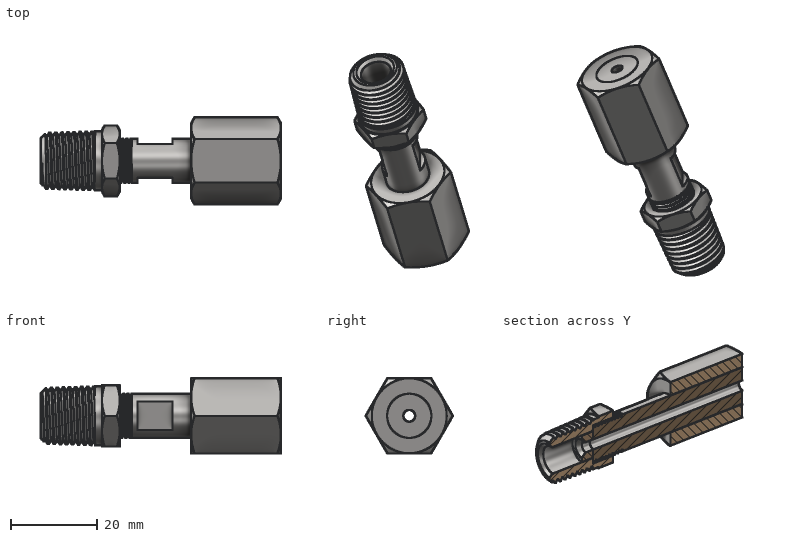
import cadquery as cq
import math

total_length = 55.7

collar_start = 12.65
small_hex_start = 14.2
small_hex_end = 18.4
shank_thread_end = 21.15
flats_start = 22.5
flats_end = 30.5
nut_start = 34.85

collar_radius = 6.85
taper_slope = 1 / 32
mouth_face_radius = 5.2
small_hex_width = 14.25
nipple_bore_radius = 3.55
bore_chamfer = 0.9

pipe_thread_turns = 7
pipe_turns_length = 9.85
pipe_pitch = pipe_turns_length / pipe_thread_turns
pipe_groove_width = 1.15
pipe_groove_depth = 0.9
pipe_groove_phase = 1.8
pipe_lead_in_turns = 3

shank_radius = 5.1
flats_width = 7.85
shank_pitch = 0.95
shank_groove_width = 0.8
shank_groove_depth = 0.55
shank_groove_phase = 18.8
shank_lead_in_turns = 8

insert_length = 3.35
orifice_radius = 1.35
countersink_radius = 2.45

nut_width = 17.5

hex_chamfer_angle = 30.0
hex_chamfer_inset = 0.05

groove_overshoot = 0.1


def cylinder(start, end, radius):
    return cq.Workplane("YZ", origin=(start, 0, 0)).circle(radius).extrude(end - start)


def revolved(profile):
    """Turn a closed (X, radius) outline around the X axis."""
    return cq.Workplane("XY").polyline(profile).close().revolve(360, (0, 0), (1, 0))


def chamfered_hex(start, end, width):
    """Hex bar with corners on the Y axis and both ends chamfered."""
    corner_radius = width / math.sqrt(3)
    face_radius = width / 2 - hex_chamfer_inset
    chamfer_length = (corner_radius - face_radius) * math.tan(math.radians(hex_chamfer_angle))
    bar = cq.Workplane("YZ", origin=(start, 0, 0)).polygon(6, 2 * corner_radius).extrude(end - start)
    envelope = revolved([
        (start, 0),
        (start, face_radius),
        (start + chamfer_length, corner_radius),
        (end - chamfer_length, corner_radius),
        (end, face_radius),
        (end, 0),
    ])
    return bar.intersect(envelope)


def thread_groove(start, path, radius, width, depth):
    """Right-hand V groove along a helix path, starting on the +Z side at X = start."""
    flank_slope = width / 2 / depth
    outer_half_width = width / 2 + groove_overshoot * flank_slope
    groove = (
        cq.Workplane("XZ")
        .polyline([
            (radius - depth, 0),
            (radius + groove_overshoot, outer_half_width),
            (radius + groove_overshoot, -outer_half_width),
        ])
        .close()
        .sweep(cq.Workplane(path), isFrenet=True)
    )
    return (
        groove.rotate((0, 0, 0), (0, 0, 1), 180)
        .rotate((0, 0, 0), (0, 1, 0), 90)
        .translate((start, 0, 0))
    )


def pipe_thread_radius(x):
    """Crest radius of the taper thread at X = x."""
    return collar_radius - (collar_start - x) * taper_slope


def make_nipple():
    groove_start = pipe_groove_phase - pipe_lead_in_turns * pipe_pitch
    groove_end = collar_start + pipe_pitch
    blank_start = groove_start - pipe_pitch
    blank_end = groove_end + pipe_pitch
    blank = revolved([
        (blank_start, 0),
        (blank_start, pipe_thread_radius(blank_start)),
        (blank_end, pipe_thread_radius(blank_end)),
        (blank_end, 0),
    ])
    start_radius = pipe_thread_radius(groove_start)
    taper_angle = math.degrees(math.atan(taper_slope))
    helix = cq.Wire.makeHelix(pipe_pitch, groove_end - groove_start, start_radius, angle=taper_angle)
    groove = thread_groove(groove_start, helix, start_radius, pipe_groove_width, pipe_groove_depth)
    tip_chamfer = collar_radius - mouth_face_radius
    chamfered_envelope = revolved([
        (0, 0),
        (0, mouth_face_radius),
        (tip_chamfer, collar_radius),
        (collar_start, collar_radius),
        (collar_start, 0),
    ])
    threaded_end = blank.cut(groove).intersect(chamfered_envelope)
    collar = cylinder(collar_start, small_hex_start, collar_radius)
    small_hex = chamfered_hex(small_hex_start, small_hex_end, small_hex_width)
    bore = cylinder(0, collar_start, nipple_bore_radius)
    bore_mouth = revolved([
        (0, 0),
        (0, nipple_bore_radius + bore_chamfer),
        (bore_chamfer, nipple_bore_radius),
        (bore_chamfer, 0),
    ])
    shank_socket = cylinder(collar_start, small_hex_end, shank_radius)
    return threaded_end.union(collar).union(small_hex).cut(bore).cut(bore_mouth).cut(shank_socket)


def make_insert():
    insert_start = collar_start - insert_length
    countersink_depth = countersink_radius - orifice_radius
    return revolved([
        (insert_start, countersink_radius),
        (insert_start, nipple_bore_radius),
        (collar_start, nipple_bore_radius),
        (collar_start, orifice_radius),
        (insert_start + countersink_depth, orifice_radius),
    ])


def make_shank():
    groove_start = shank_groove_phase - shank_lead_in_turns * shank_pitch
    groove_end = shank_thread_end + shank_pitch
    blank = cylinder(groove_start - shank_pitch, groove_end + shank_pitch, shank_radius)
    helix = cq.Wire.makeHelix(shank_pitch, groove_end - groove_start, shank_radius)
    groove = thread_groove(groove_start, helix, shank_radius, shank_groove_width, shank_groove_depth)
    threaded_end = blank.cut(groove).intersect(
        cylinder(collar_start, shank_thread_end, shank_radius)
    )
    flats = cq.Workplane("XY").box(flats_end - flats_start, flats_width, 2 * shank_radius)
    flats = flats.translate(((flats_start + flats_end) / 2, 0, 0))
    body = (
        cylinder(shank_thread_end, flats_start, shank_radius)
        .union(cylinder(flats_start, flats_end, shank_radius).intersect(flats))
        .union(cylinder(flats_end, total_length, shank_radius))
    )
    return threaded_end.union(body).cut(cylinder(collar_start, total_length, orifice_radius))


def make_nut():
    return chamfered_hex(nut_start, total_length, nut_width).cut(
        cylinder(nut_start, total_length, shank_radius)
    )


nipple = make_nipple().solids()
insert = make_insert().solids()
shank = make_shank().solids()
nut = make_nut().solids()

result = cq.Compound.makeCompound([nipple.val(), insert.val(), shank.val(), nut.val()])